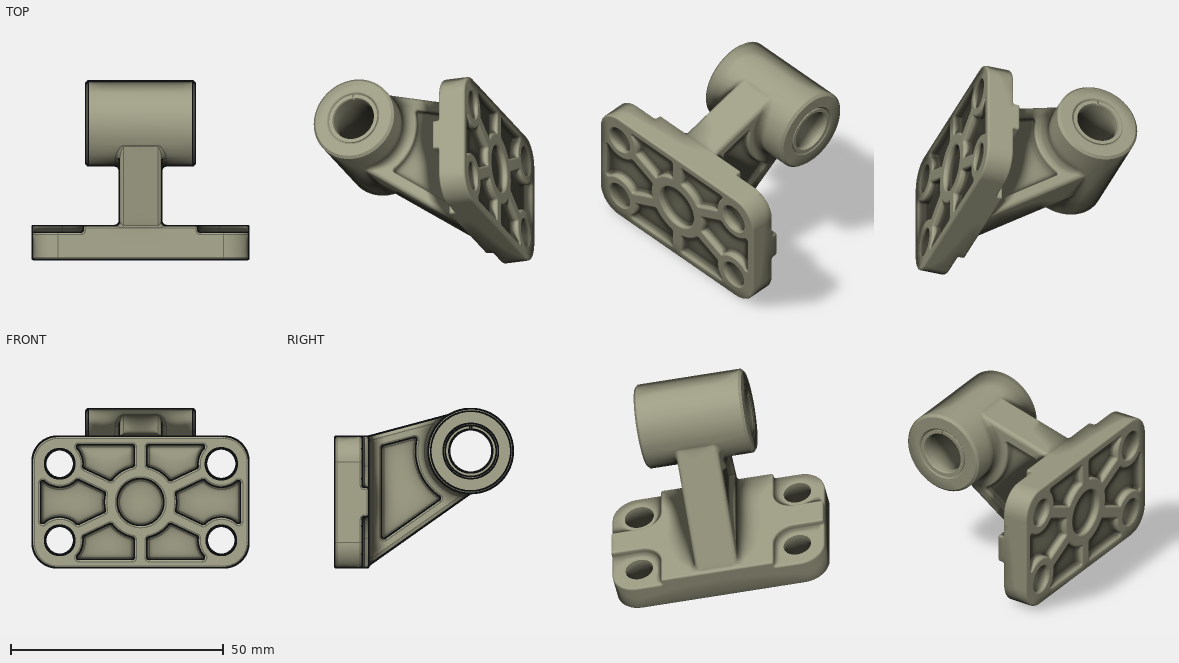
import cadquery as cq
import math

FLANGE_WIDTH = 51.0
FLANGE_HEIGHT = 31.0
FLANGE_THICKNESS = 8.0
FLANGE_CORNER_RADIUS = 6.0
SMALL_FILLET = 0.5

HOLE_INSET = 6.5
HOLE_DIAMETER = 6.6
WIDE_HOLE_DIAMETER = 7.0
HOLE_CHAMFER = 0.25

PAD_SIZE = 12.0
PAD_DEPTH = 1.55
PAD_RADIUS = 5.0

POCKET_DEPTH = 2.0
POCKET_RIM = 2.0
RIB_WIDTH = 3.0
HUB_RADIUS = 8.5
HOLE_BOSS_RADIUS = 5.5
CENTRE_RECESS_DIAMETER = 11.0

BOSS_DIAMETER = 20.0
BOSS_LENGTH = 25.8
BOSS_CHAMFER = 0.6
BOSS_Y = 32.0
BOSS_Z = 12.0
BUSH_OUTER_DIAMETER = 12.0
BUSH_INNER_DIAMETER = 10.0
BORE_CHAMFER = 0.5
BUSH_RECESS = 0.1
BUSH_LEAD_IN_DEPTH = 0.5
BUSH_LEAD_IN_RADIAL = 0.15
BUSH_NOTCH_WIDTH = 0.4
BUSH_NOTCH_DEPTH = 0.5

WEB_THICKNESS = 10.0
WEB_FILLET = 1.0
WEB_TOP_ANGLE = 15.0
WEB_BOTTOM_ANGLE = 35.2
WEB_BOTTOM_OFFSET = 8.15
WEB_POCKET_MARGIN = 3.0
WEB_POCKET_DEPTH = 1.5

CHAMFER_ANGLE = 45
RIGHT_ANGLE = 90
FULL_TURN = 360
TOLERANCE = 1e-3

HALF_WIDTH = FLANGE_WIDTH / 2
HALF_HEIGHT = FLANGE_HEIGHT / 2
HOLE_X = HALF_WIDTH - HOLE_INSET
HOLE_Z = HALF_HEIGHT - HOLE_INSET
HOLE_CENTRES = [(sx * HOLE_X, sz * HOLE_Z) for sx in (-1, 1) for sz in (-1, 1)]
WEB_SLOPE_TOP = math.tan(math.radians(WEB_TOP_ANGLE))
WEB_SLOPE_BOTTOM = math.tan(math.radians(WEB_BOTTOM_ANGLE))
WEB_TOP_OFFSET = (
    (BOSS_Y - FLANGE_THICKNESS) * math.sin(math.radians(WEB_TOP_ANGLE))
    + (HALF_HEIGHT - BOSS_Z) * math.cos(math.radians(WEB_TOP_ANGLE))
)


def box(x_range, y_range, z_range):
    size = [high - low for low, high in (x_range, y_range, z_range)]
    block = cq.Workplane("XY").box(*size, centered=False)
    return block.translate((x_range[0], y_range[0], z_range[0]))


def rod_y(diameter, x, z, y_start, length):
    return cq.Workplane("XZ", origin=(x, y_start, z)).circle(diameter / 2).extrude(-length)


def rod_x(diameter, length):
    rod = cq.Workplane("YZ", origin=(-length / 2, BOSS_Y, BOSS_Z))
    return rod.circle(diameter / 2).extrude(length)


def web_top_z(y, offset):
    """Height of a line parallel to the web's top, at a distance above the boss axis."""
    return BOSS_Z + offset / math.cos(math.radians(WEB_TOP_ANGLE)) - (BOSS_Y - y) * WEB_SLOPE_TOP


def web_bottom_z(y, offset):
    """Height of a line parallel to the web's bottom, at a distance below the boss axis."""
    return BOSS_Z - offset / math.cos(math.radians(WEB_BOTTOM_ANGLE)) - (BOSS_Y - y) * WEB_SLOPE_BOTTOM


def web_prism(y_front, y_back, top_offset, bottom_offset, x_start, x_length):
    outline = [
        (y_front, web_bottom_z(y_front, bottom_offset)),
        (y_front, web_top_z(y_front, top_offset)),
        (y_back, web_top_z(y_back, top_offset)),
        (y_back, web_bottom_z(y_back, bottom_offset)),
    ]
    return cq.Workplane("YZ", origin=(x_start, 0, 0)).polyline(outline).close().extrude(x_length)


def edges_where(solid, test):
    """Edges of which the start, middle and end points all pass the test."""
    chosen = []
    for edge in solid.edges().vals():
        if all(test(edge.positionAt(t)) for t in (0, 0.5, 1)):
            chosen.append(edge)
    return solid.newObject(chosen)


def make_corner_pad_cutter():
    floor_y = FLANGE_THICKNESS - PAD_DEPTH
    cutter = box(
        (HALF_WIDTH - PAD_SIZE, FLANGE_WIDTH),
        (floor_y, FLANGE_THICKNESS + PAD_DEPTH),
        (HALF_HEIGHT - PAD_SIZE, FLANGE_HEIGHT),
    )
    cutter = cutter.edges("|Y and <X and <Z").fillet(PAD_RADIUS)
    return cutter.faces("<Y").edges().fillet(SMALL_FILLET)


def is_rim_edge(edge):
    """True for an edge along the flange outline, other than the seams across its thickness."""
    bounds = edge.BoundingBox()
    on_side = bounds.xlen < TOLERANCE and abs(abs(bounds.xmin) - HALF_WIDTH) < TOLERANCE
    on_end = bounds.zlen < TOLERANCE and abs(abs(bounds.zmin) - HALF_HEIGHT) < TOLERANCE
    on_corner = edge.geomType() == "CIRCLE" and abs(edge.radius() - FLANGE_CORNER_RADIUS) < TOLERANCE
    is_seam = bounds.ymin < TOLERANCE and bounds.ylen > TOLERANCE
    return (on_side or on_end or on_corner) and not is_seam


def make_flange():
    flange = box((-HALF_WIDTH, HALF_WIDTH), (0, FLANGE_THICKNESS), (-HALF_HEIGHT, HALF_HEIGHT))
    flange = flange.edges("|Y").fillet(FLANGE_CORNER_RADIUS)
    cutter = make_corner_pad_cutter()
    for corner_cutter in (cutter, cutter.mirror("YZ")):
        flange = flange.cut(corner_cutter).cut(corner_cutter.mirror("XY"))
    rim = [edge for edge in flange.edges().vals() if is_rim_edge(edge)]
    back = [edge for edge in flange.faces(">Y").edges().vals() if not is_rim_edge(edge)]
    return flange.newObject(rim + back).fillet(SMALL_FILLET)


def make_face_pocket_cutter():
    """Rimmed rectangle, split into six pockets by the hub, the hole bosses and the ribs."""
    pocket_x = HALF_WIDTH - POCKET_RIM
    pocket_z = HALF_HEIGHT - POCKET_RIM
    cutter = box((-pocket_x, pocket_x), (0, POCKET_DEPTH), (-pocket_z, pocket_z))
    cutter = cutter.cut(rod_y(2 * HUB_RADIUS, 0, 0, 0, POCKET_DEPTH))
    for x, z in HOLE_CENTRES:
        cutter = cutter.cut(rod_y(2 * HOLE_BOSS_RADIUS, x, z, 0, POCKET_DEPTH))
        outer_corner = box(sorted((x, 2 * x)), (0, POCKET_DEPTH), sorted((z, 2 * z)))
        cutter = cutter.cut(outer_corner)
    rib = box((-FLANGE_WIDTH, FLANGE_WIDTH), (0, POCKET_DEPTH), (-RIB_WIDTH / 2, RIB_WIDTH / 2))
    diagonal = math.degrees(math.atan2(HOLE_Z, HOLE_X))
    for angle in (-diagonal, diagonal, RIGHT_ANGLE):
        cutter = cutter.cut(rib.rotate((0, 0, 0), (0, 1, 0), angle))
    cutter = cutter.edges("|Y").fillet(SMALL_FILLET)
    cutter = cutter.union(rod_y(CENTRE_RECESS_DIAMETER, 0, 0, 0, POCKET_DEPTH))
    return cutter.faces(">Y").edges().fillet(SMALL_FILLET)


def cut_face_pockets(part):
    part = part.cut(make_face_pocket_cutter())
    mouth_x = HALF_WIDTH - POCKET_RIM + TOLERANCE
    mouth_z = HALF_HEIGHT - POCKET_RIM + TOLERANCE

    def is_at_mouth(point):
        return abs(point.y) < TOLERANCE and abs(point.x) < mouth_x and abs(point.z) < mouth_z

    return edges_where(part, is_at_mouth).fillet(SMALL_FILLET)


def drill_mounting_holes(part):
    for x, z in HOLE_CENTRES:
        diameter = WIDE_HOLE_DIAMETER if x > 0 and z > 0 else HOLE_DIAMETER
        part = part.cut(rod_y(diameter, x, z, 0, FLANGE_THICKNESS))
        rim = cq.Workplane("XZ", origin=(x, 0, z)).circle(diameter / 2 + HOLE_CHAMFER)
        part = part.cut(rim.extrude(-HOLE_CHAMFER, taper=CHAMFER_ANGLE))
    return part


def make_web():
    """Web from just inside the flange to the boss axis, rounded along its upper and lower edges."""
    root_y = FLANGE_THICKNESS - SMALL_FILLET
    side_x = -WEB_THICKNESS / 2
    web = web_prism(root_y, BOSS_Y, WEB_TOP_OFFSET, WEB_BOTTOM_OFFSET, side_x, WEB_THICKNESS)
    return web.faces("<Z or >Z").edges("not |X").edges("not |Z").fillet(WEB_FILLET)


def distance_from_boss_axis(point):
    return math.hypot(point.y - BOSS_Y, point.z - BOSS_Z)


def join_web(flange, boss):
    """Join flange, web and boss, with fillets where the web meets the other two."""
    body = flange.union(make_web()).union(boss)
    reach = WEB_THICKNESS / 2 + TOLERANCE
    boss_radius = BOSS_DIAMETER / 2
    flat_top_z = HALF_HEIGHT - SMALL_FILLET + TOLERANCE

    def is_at_boss(point):
        return abs(point.x) < reach and abs(distance_from_boss_axis(point) - boss_radius) < TOLERANCE

    def is_at_flange(point):
        on_back = abs(point.y - FLANGE_THICKNESS) < TOLERANCE
        return on_back and abs(point.x) < reach and point.z < flat_top_z

    body = edges_where(body, is_at_boss).fillet(WEB_FILLET)
    return edges_where(body, is_at_flange).fillet(WEB_FILLET)


def cut_web_pockets(part):
    """Matching pockets in the two sides of the web, all walls parallel to its outline."""
    half_web = WEB_THICKNESS / 2
    floor_x = half_web - WEB_POCKET_DEPTH
    cutter = web_prism(
        FLANGE_THICKNESS + WEB_POCKET_MARGIN,
        BOSS_Y,
        WEB_TOP_OFFSET - WEB_POCKET_MARGIN,
        WEB_BOTTOM_OFFSET - WEB_POCKET_MARGIN,
        floor_x,
        WEB_POCKET_DEPTH,
    )
    cutter = cutter.cut(rod_x(BOSS_DIAMETER + 2 * WEB_POCKET_MARGIN, BOSS_LENGTH))
    cutter = cutter.edges("|X").fillet(SMALL_FILLET)
    cutter = cutter.faces("<X").edges().fillet(SMALL_FILLET)
    part = part.cut(cutter).cut(cutter.mirror("YZ"))
    mouth_start = FLANGE_THICKNESS + WEB_POCKET_MARGIN - TOLERANCE
    mouth_radius = BOSS_DIAMETER / 2 + WEB_POCKET_MARGIN - TOLERANCE
    top_offset = WEB_TOP_OFFSET - WEB_POCKET_MARGIN + TOLERANCE
    bottom_offset = WEB_BOTTOM_OFFSET - WEB_POCKET_MARGIN + TOLERANCE

    def is_at_mouth(point):
        on_side = abs(abs(point.x) - half_web) < TOLERANCE
        past_ends = point.y > mouth_start and distance_from_boss_axis(point) > mouth_radius
        below_top = point.z < web_top_z(point.y, top_offset)
        above_bottom = point.z > web_bottom_z(point.y, bottom_offset)
        return on_side and past_ends and below_top and above_bottom

    return edges_where(part, is_at_mouth).fillet(SMALL_FILLET)


def make_boss():
    return rod_x(BOSS_DIAMETER, BOSS_LENGTH).edges().chamfer(BOSS_CHAMFER)


def make_bore_cutter():
    """Bore of the bush with a slight lead-in, and the groove of the boss chamfer around each end."""
    half_boss = BOSS_LENGTH / 2
    seat_x = half_boss - BUSH_RECESS
    inner = BUSH_INNER_DIAMETER / 2
    outer = BUSH_OUTER_DIAMETER / 2
    half_profile = [
        (0, 0),
        (0, inner),
        (seat_x - BUSH_LEAD_IN_DEPTH, inner),
        (seat_x, inner + BUSH_LEAD_IN_RADIAL),
        (seat_x, outer),
        (half_boss - BORE_CHAMFER, outer),
        (half_boss, outer + BORE_CHAMFER),
        (half_boss, 0),
    ]
    half = cq.Workplane("XY").polyline(half_profile).close()
    half = half.revolve(FULL_TURN, (0, 0, 0), (1, 0, 0))
    half_notch = BUSH_NOTCH_WIDTH / 2
    notch = box((seat_x - BUSH_NOTCH_DEPTH, seat_x), (-half_notch, half_notch), (0, outer))
    half = half.union(notch)
    return half.union(half.mirror("YZ")).translate((0, BOSS_Y, BOSS_Z))


body = join_web(make_flange(), make_boss())
body = cut_web_pockets(body)
body = cut_face_pockets(body)
body = drill_mounting_holes(body)
result = body.cut(make_bore_cutter())